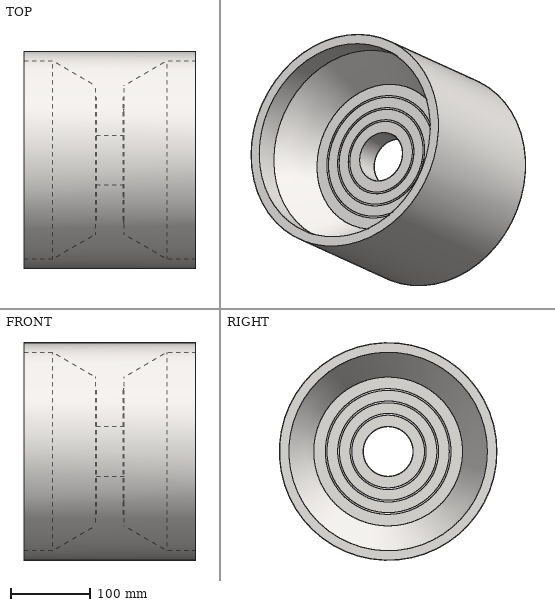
import cadquery as cq

outer_diameter = 274.3
length = 216.2

mouth_diameter = 250.2
mouth_depth = 36.2
recess_depth = 90.0

ring_spacing = 15.6
bore_radius = 2 * ring_spacing
web_face_radius = 6 * ring_spacing
groove_radii = [n * ring_spacing for n in (3, 4, 5)]
groove_section_radius = 1.0

outer_radius = outer_diameter / 2
mouth_radius = mouth_diameter / 2
half_length = length / 2
mouth_end = half_length - mouth_depth
web_half_thickness = half_length - recess_depth


def revolve_about_x(profile):
    """Turn a closed profile, drawn as (x, radius), one full revolution about X."""
    return profile.revolve(360, (0, 0, 0), (1, 0, 0))


def drum_body():
    """Drum with matching tapered recesses either side of a bored web."""
    profile = (
        cq.Workplane("XY")
        .moveTo(-half_length, outer_radius)
        .lineTo(-half_length, mouth_radius)
        .lineTo(-mouth_end, mouth_radius)
        .lineTo(-web_half_thickness, web_face_radius)
        .lineTo(-web_half_thickness, bore_radius)
        .lineTo(web_half_thickness, bore_radius)
        .lineTo(web_half_thickness, web_face_radius)
        .lineTo(mouth_end, mouth_radius)
        .lineTo(half_length, mouth_radius)
        .lineTo(half_length, outer_radius)
        .close()
    )
    return revolve_about_x(profile)


def groove_cutter(web_face_x, ring_radius):
    """Round-section ring whose inner half cuts a semicircular groove in a web face."""
    profile = cq.Workplane("XY").center(web_face_x, ring_radius).circle(groove_section_radius)
    return profile.revolve(360, (0, -ring_radius, 0), (1, -ring_radius, 0))


result = drum_body()
for web_face_x in (-web_half_thickness, web_half_thickness):
    for ring_radius in groove_radii:
        result = result.cut(groove_cutter(web_face_x, ring_radius))